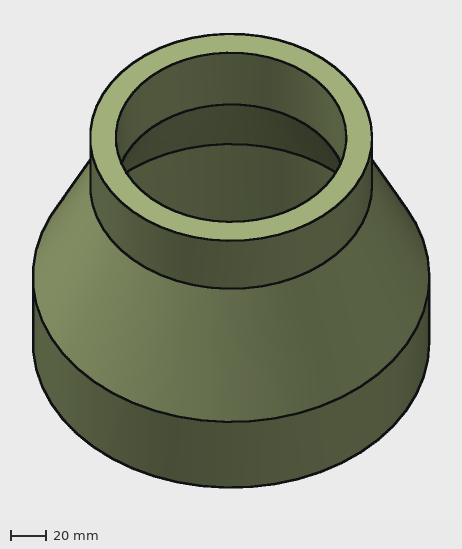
import cadquery as cq

large_diameter = 225.0
small_diameter = 160.0
large_wall = 20.5
small_wall = 14.6

total_height = 171.0
large_length = 55.0
small_length = 40.0

large_bore_length = 66.0
small_bore_length = 43.2


def stepped_body(lower_diameter, upper_diameter, lower_length, upper_length):
    """Solid of revolution: lower cylinder, cone, upper cylinder."""
    lower_radius = lower_diameter / 2
    upper_radius = upper_diameter / 2
    return (
        cq.Workplane("XZ")
        .moveTo(0, 0)
        .lineTo(lower_radius, 0)
        .lineTo(lower_radius, lower_length)
        .lineTo(upper_radius, total_height - upper_length)
        .lineTo(upper_radius, total_height)
        .lineTo(0, total_height)
        .close()
        .revolve(360, (0, 0, 0), (0, 1, 0))
    )


outer_body = stepped_body(large_diameter, small_diameter, large_length, small_length)
bore = stepped_body(
    large_diameter - 2 * large_wall,
    small_diameter - 2 * small_wall,
    large_bore_length,
    small_bore_length,
)

result = outer_body.cut(bore)